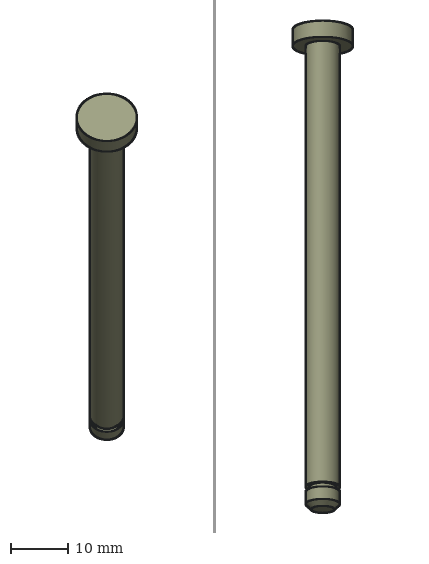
import cadquery as cq

total_length = 88.0
head_diameter = 10.6
head_height = 3.0
shank_diameter = 6.0
groove_diameter = 4.75
groove_width = 0.9
groove_bottom = 3.3
tip_chamfer = 1.0

head_bottom = total_length - head_height


def make_disc(diameter, bottom, height):
    """Round disc centred on the pin axis."""
    return cq.Workplane("XY").workplane(offset=bottom).circle(diameter / 2).extrude(height)


def make_shank():
    """Shank with its chamfered tip."""
    return make_disc(shank_diameter, 0, head_bottom).faces("<Z").chamfer(tip_chamfer)


def make_groove():
    """Ring that removes the groove down to its floor."""
    floor = make_disc(groove_diameter, groove_bottom, groove_width)
    return make_disc(shank_diameter, groove_bottom, groove_width).cut(floor)


head = make_disc(head_diameter, head_bottom, head_height)
result = make_shank().cut(make_groove()).union(head)